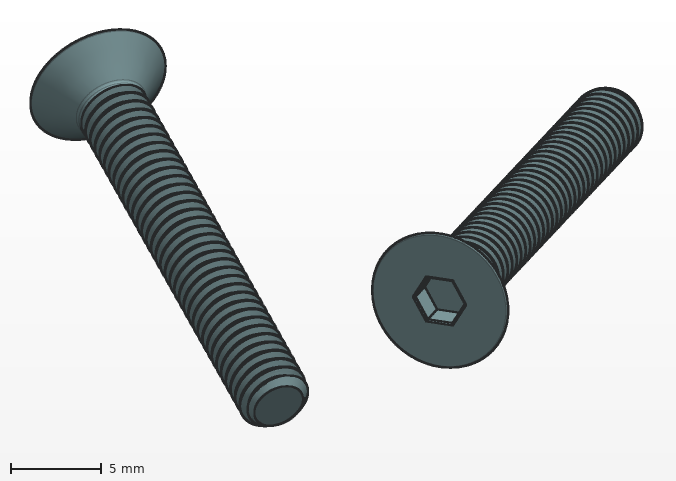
import cadquery as cq
import math


shank_radius = 2.0
shank_length = 25.0
pitch = 0.7
tip_chamfer = 0.55
sharp_thread_height = pitch * math.sqrt(3) / 2
thread_depth = sharp_thread_height * 5 / 8
root_flat = 0.16
flank_angle = math.radians(30)
groove_x_at_top = 2.755
thread_start_angle = -45
thread_start = groove_x_at_top - pitch * (90 - thread_start_angle) / 360
cutter_overlap = 0.04

cone_angle = math.radians(45)
head_radius = 4.02
rim_fillet = 0.1
neck_fillet = 0.27

socket_flats = 2.52
socket_depth = 1.55
socket_chamfer = 0.1

sharp_head_radius = head_radius - rim_fillet + rim_fillet / math.tan(cone_angle / 2)
head_height = sharp_head_radius - shank_radius
total_length = head_height + shank_length


def make_blank():
    """Turned screw without thread or socket."""
    face_edge_radius = head_radius - rim_fillet
    diagonal = math.sin(cone_angle)
    rim_arc_middle = (rim_fillet, head_radius)
    rim_arc_end = (
        rim_fillet * (1 + diagonal),
        face_edge_radius + rim_fillet * diagonal,
    )
    neck_tangent = neck_fillet * math.tan(cone_angle / 2)
    neck_start = (head_height - neck_tangent * diagonal, shank_radius + neck_tangent * diagonal)
    neck_end = (head_height + neck_tangent, shank_radius)
    neck_arc_middle = (
        neck_end[0] - neck_fillet * math.sin(cone_angle / 2),
        neck_end[1] + neck_fillet * (1 - math.cos(cone_angle / 2)),
    )
    profile = (
        cq.Workplane("XY")
        .lineTo(0, face_edge_radius)
        .threePointArc(rim_arc_middle, rim_arc_end)
        .lineTo(*neck_start)
        .threePointArc(neck_arc_middle, neck_end)
        .lineTo(total_length - tip_chamfer, shank_radius)
        .lineTo(total_length, shank_radius - tip_chamfer)
        .lineTo(total_length, 0)
        .close()
    )
    return profile.revolve(360, (0, 0, 0), (1, 0, 0))


def make_thread_cutter():
    """Right-handed helical groove of trapezoidal section, running out through the tip."""
    root_radius = shank_radius - thread_depth
    outer_radius = shank_radius + cutter_overlap
    half_root = root_flat / 2
    half_outer = half_root + (thread_depth + cutter_overlap) * math.tan(flank_angle)
    helix_length = total_length - thread_start + pitch
    helix = cq.Workplane(cq.Wire.makeHelix(pitch, helix_length, root_radius))
    groove = (
        cq.Workplane("XZ")
        .moveTo(root_radius, -half_root)
        .lineTo(root_radius, half_root)
        .lineTo(outer_radius, half_outer)
        .lineTo(outer_radius, -half_outer)
        .close()
        .sweep(helix, isFrenet=True)
    )
    along_x = groove.rotate((0, 0, 0), (1, 1, 1), 120)
    return along_x.rotate((0, 0, 0), (1, 0, 0), thread_start_angle).translate((thread_start, 0, 0))


def make_socket():
    """Hexagonal recess with two flats facing +Z and -Z and a slightly chamfered mouth."""
    corner_diameter = socket_flats / math.cos(math.pi / 6)
    mouth_diameter = (socket_flats + 2 * socket_chamfer) / math.cos(math.pi / 6)
    recess = cq.Workplane("YZ").polygon(6, corner_diameter).extrude(socket_depth)
    mouth = (
        cq.Workplane("YZ")
        .polygon(6, mouth_diameter)
        .workplane(offset=socket_chamfer)
        .polygon(6, corner_diameter)
        .loft()
    )
    return recess.union(mouth)


result = make_blank().cut(make_thread_cutter()).cut(make_socket())